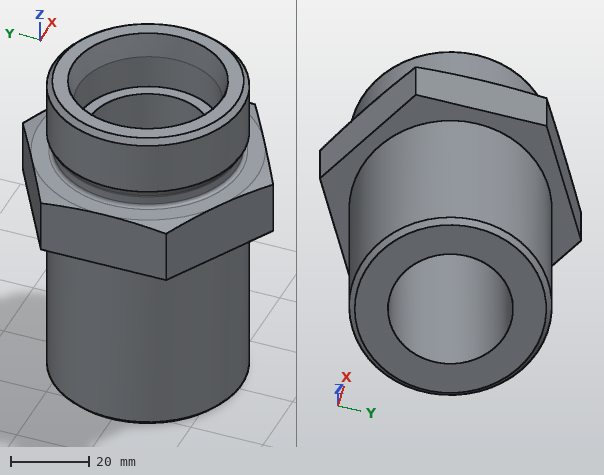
import cadquery as cq
import math

total_length = 91.0
body_diameter = 52.0
end_chamfer = 1.5

hex_sides = 6
hex_across_flats = 60.1
hex_bottom = 53.0
hex_top = 69.0
hex_chamfer_angle = 15.0

groove_diameter = 49.0
groove_fillet = 1.0
groove_bevel_bottom = 72.5
groove_bevel_top = 74.9

bore_diameter = 32.0
socket_diameter = 38.3
socket_depth = 16.0
mouth_diameter = 41.0
mouth_half_angle = 12.0


def make_body():
    """Turned outside shape: tube, undercut and chamfered ends."""
    radius = body_diameter / 2
    groove_radius = groove_diameter / 2
    fillet_middle = groove_fillet * (1 - math.sqrt(0.5))
    bevel_angle = math.atan2(radius - groove_radius, groove_bevel_top - groove_bevel_bottom)
    tangent_length = groove_fillet * math.tan(bevel_angle / 2)
    bevel_arc_center = groove_radius + groove_fillet
    return (
        cq.Workplane("XZ")
        .lineTo(radius - end_chamfer, 0)
        .lineTo(radius, end_chamfer)
        .lineTo(radius, hex_top)
        .lineTo(groove_radius + groove_fillet, hex_top)
        .threePointArc(
            (groove_radius + fillet_middle, hex_top + fillet_middle),
            (groove_radius, hex_top + groove_fillet),
        )
        .lineTo(groove_radius, groove_bevel_bottom - tangent_length)
        .threePointArc(
            (
                bevel_arc_center - groove_fillet * math.cos(bevel_angle / 2),
                groove_bevel_bottom - tangent_length + groove_fillet * math.sin(bevel_angle / 2),
            ),
            (
                groove_radius + tangent_length * math.sin(bevel_angle),
                groove_bevel_bottom + tangent_length * math.cos(bevel_angle),
            ),
        )
        .lineTo(radius, groove_bevel_top)
        .lineTo(radius, total_length - end_chamfer)
        .lineTo(radius - end_chamfer, total_length)
        .lineTo(0, total_length)
        .close()
        .revolve(360, (0, 0), (0, 1))
    )


def make_hex_collar():
    """Hexagon with flats on +X and -X and conically chamfered top corners."""
    half_side_angle = 180 / hex_sides
    corner_diameter = hex_across_flats / math.cos(math.radians(half_side_angle))
    collar = (
        cq.Workplane("XY", origin=(0, 0, hex_bottom))
        .polygon(hex_sides, corner_diameter)
        .extrude(hex_top - hex_bottom)
        .rotate((0, 0, 0), (0, 0, 1), half_side_angle)
    )
    flat_radius = hex_across_flats / 2
    cone_spread = (hex_top - hex_bottom) / math.tan(math.radians(hex_chamfer_angle))
    cone = (
        cq.Workplane("XZ")
        .polyline([
            (0, hex_bottom),
            (flat_radius + cone_spread, hex_bottom),
            (flat_radius, hex_top),
            (0, hex_top),
        ])
        .close()
        .revolve(360, (0, 0), (0, 1))
    )
    return collar.intersect(cone)


def make_bore():
    """Through bore, wider socket and conical mouth."""
    socket_radius = socket_diameter / 2
    mouth_radius = mouth_diameter / 2
    socket_floor = total_length - socket_depth
    mouth_depth = (mouth_radius - socket_radius) / math.tan(math.radians(mouth_half_angle))
    profile = [
        (0, 0),
        (bore_diameter / 2, 0),
        (bore_diameter / 2, socket_floor),
        (socket_radius, socket_floor),
        (socket_radius, total_length - mouth_depth),
        (mouth_radius, total_length),
        (0, total_length),
    ]
    return cq.Workplane("XZ").polyline(profile).close().revolve(360, (0, 0), (0, 1))


result = make_body().union(make_hex_collar()).cut(make_bore())